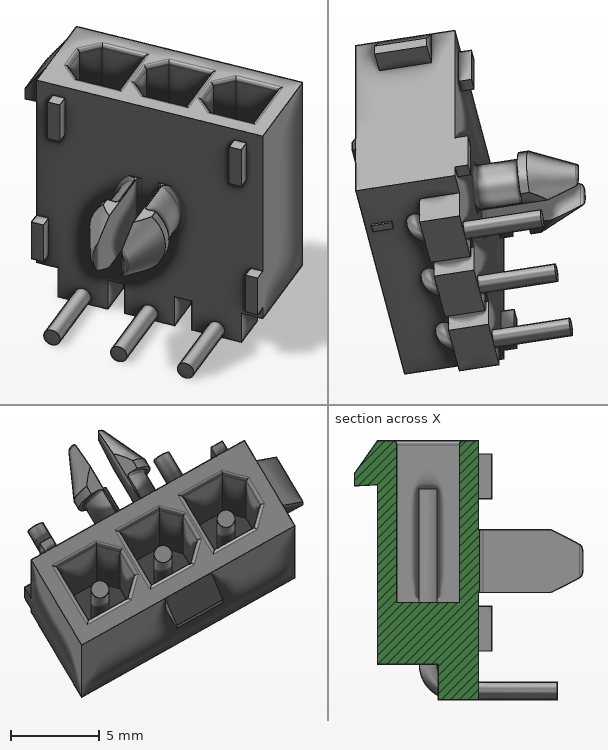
import cadquery as cq
import math

WIDTH = 13.98
DEPTH = 5.75
HEIGHT = 12.69
BOTTOM = -2.02
PITCH = 4.13
CONTACT_X = [-PITCH, 0, PITCH]
MID_Y = DEPTH / 2

CAVITY_SIZE = 3.55
CAVITY_CORNER = 0.98
CAVITY_DEPTH = 9.17
MOUTH_FILLET = 0.23

PIN_RADIUS = 0.5
PIN_TOP = 9.94
PIN_REACH = 4.46
BEND_RADIUS = 1.53

FOOT_WIDTH = 3.09
FOOT_DEPTH = 2.31

PAD_WIDTH = 0.75
PAD_HEIGHT = 2.55
PAD_THICKNESS = 0.75
PAD_EDGE_GAP = 0.75
UPPER_PAD_INSET = 1.01

LATCH_WIDTH = 3.01
LATCH_REACH = 1.31
LATCH_HEIGHT = 2.57
LATCH_LIP = 0.7
LATCH_HOOK = 0.06

PEG_Z = 5.85
PEG_LENGTH = 5.93
PEG_RADIUS = 1.97
PEG_HALF_HEIGHT = 1.79
PEG_ROOT_FILLET = 0.25
BARB_RADIUS = 2.34
BARB_START = 2.66
BARB_END = 3.2
BARB_FILLET = 0.12
TIP_RADIUS = 1.12
TIP_FILLET = 0.21
SLOT_HALF_WIDTH = 0.75

MARK_DEPTH = 1.2
MARK_WIDTH = 0.46
MARK_HEIGHT = 0.12
MARK_REAR_GAP = 0.37


def box(x0, y0, z0, dx, dy, dz):
    """Box from its lowest corner and its side lengths."""
    return cq.Workplane("XY").box(dx, dy, dz, centered=False).translate((x0, y0, z0))


def cavity():
    """Square shaft with two corners cut off, centred on X."""
    half = CAVITY_SIZE / 2
    block = box(-half, MID_Y - half, HEIGHT - CAVITY_DEPTH, CAVITY_SIZE, CAVITY_SIZE, CAVITY_DEPTH)
    return block.edges("|Z and <X").chamfer(CAVITY_CORNER)


def pin():
    """Round pin that drops from the cavity and bends forward to the board."""
    run_z = BOTTOM + PIN_RADIUS
    bend_centre_y = MID_Y - BEND_RADIUS
    bend_centre_z = run_z + BEND_RADIUS
    mid = BEND_RADIUS * math.sqrt(0.5)
    path = (
        cq.Workplane("YZ")
        .moveTo(MID_Y, PIN_TOP)
        .lineTo(MID_Y, bend_centre_z)
        .threePointArc((bend_centre_y + mid, bend_centre_z - mid), (bend_centre_y, run_z))
        .lineTo(-PIN_REACH, run_z)
    )
    section = cq.Workplane("XY", origin=(0, MID_Y, PIN_TOP)).circle(PIN_RADIUS)
    return section.sweep(path)


def latch():
    """Wedge behind the Y = 0 plane, centred on X, its top edge at the housing top."""
    points = [
        (0, HEIGHT),
        (LATCH_REACH, HEIGHT - LATCH_HEIGHT + LATCH_LIP),
        (LATCH_REACH, HEIGHT - LATCH_HEIGHT),
        (0, HEIGHT - LATCH_HEIGHT + LATCH_HOOK),
    ]
    return cq.Workplane("YZ").polyline(points).close().extrude(LATCH_WIDTH / 2, both=True)


def peg_body():
    """Round peg with a flared root, a barb and a tapered, rounded tip, pointing to -Y."""
    root_sag = PEG_ROOT_FILLET * (1 - math.sqrt(0.5))
    barb_sag = BARB_FILLET * (1 - math.sqrt(0.5))
    root_mid = (PEG_RADIUS + root_sag, -root_sag)
    barb_mid = (PEG_RADIUS + barb_sag, barb_sag - BARB_START)
    profile = (
        cq.Workplane("XY")
        .lineTo(PEG_RADIUS + PEG_ROOT_FILLET, 0)
        .threePointArc(root_mid, (PEG_RADIUS, -PEG_ROOT_FILLET))
        .lineTo(PEG_RADIUS, BARB_FILLET - BARB_START)
        .threePointArc(barb_mid, (PEG_RADIUS + BARB_FILLET, -BARB_START))
        .lineTo(BARB_RADIUS, -BARB_START)
        .lineTo(BARB_RADIUS, -BARB_END)
        .lineTo(TIP_RADIUS, -PEG_LENGTH)
        .lineTo(0, -PEG_LENGTH)
        .close()
    )
    return profile.revolve(360, (0, 0, 0), (0, 1, 0)).faces("<Y").edges().fillet(TIP_FILLET)


def peg_slot():
    """Slot between the peg halves: narrowed by fillets at the root, rounded open at the tip."""
    root_sag = PEG_ROOT_FILLET * (1 - math.sqrt(0.5))
    tip_sag = TIP_FILLET * (1 - math.sqrt(0.5))
    root = SLOT_HALF_WIDTH - PEG_ROOT_FILLET
    mouth = SLOT_HALF_WIDTH + TIP_FILLET
    root_mid = (SLOT_HALF_WIDTH - root_sag, -root_sag)
    mouth_mid = (SLOT_HALF_WIDTH + tip_sag, tip_sag - PEG_LENGTH)
    half_slot = (
        cq.Workplane("XY")
        .lineTo(root, 0)
        .threePointArc(root_mid, (SLOT_HALF_WIDTH, -PEG_ROOT_FILLET))
        .lineTo(SLOT_HALF_WIDTH, TIP_FILLET - PEG_LENGTH)
        .threePointArc(mouth_mid, (mouth, -PEG_LENGTH))
        .lineTo(0, -PEG_LENGTH)
        .close()
        .extrude(BARB_RADIUS, both=True)
    )
    return half_slot.union(half_slot.mirror("YZ"))


def peg():
    """Split peg on the board face, flattened above and below."""
    flats = box(-WIDTH / 2, -PEG_LENGTH, -PEG_HALF_HEIGHT, WIDTH, PEG_LENGTH, 2 * PEG_HALF_HEIGHT)
    return peg_body().intersect(flats).cut(peg_slot()).translate((0, 0, PEG_Z))


result = box(-WIDTH / 2, 0, 0, WIDTH, DEPTH, HEIGHT)
for x in CONTACT_X:
    result = result.cut(cavity().translate((x, 0, 0)))
cavity_mouth_edges = result.faces(">Z").edges("not(<X or >X or <Y or >Y)")
result = cavity_mouth_edges.fillet(MOUTH_FILLET)

result = result.union(latch().translate((0, DEPTH, 0)))
side_latch = latch().rotate((0, 0, 0), (0, 0, 1), 90).translate((-WIDTH / 2, MID_Y, 0))
result = result.union(side_latch)

upper_pad_z = HEIGHT - PAD_EDGE_GAP - PAD_HEIGHT
for inset, z in [(UPPER_PAD_INSET, upper_pad_z), (0, PAD_EDGE_GAP)]:
    left = -WIDTH / 2 + inset
    for x in [left, -left - PAD_WIDTH]:
        result = result.union(box(x, -PAD_THICKNESS, z, PAD_WIDTH, PAD_THICKNESS, PAD_HEIGHT))

for x in CONTACT_X:
    foot = box(x - FOOT_WIDTH / 2, 0, BOTTOM, FOOT_WIDTH, FOOT_DEPTH, -BOTTOM)
    result = result.union(foot)
    result = result.union(pin().translate((x, 0, 0)))

result = result.union(peg())

mark_x = CONTACT_X[0] - MARK_WIDTH / 2
mark_y = DEPTH - MARK_REAR_GAP - MARK_DEPTH
result = result.union(box(mark_x, mark_y, -MARK_HEIGHT, MARK_WIDTH, MARK_DEPTH, MARK_HEIGHT))